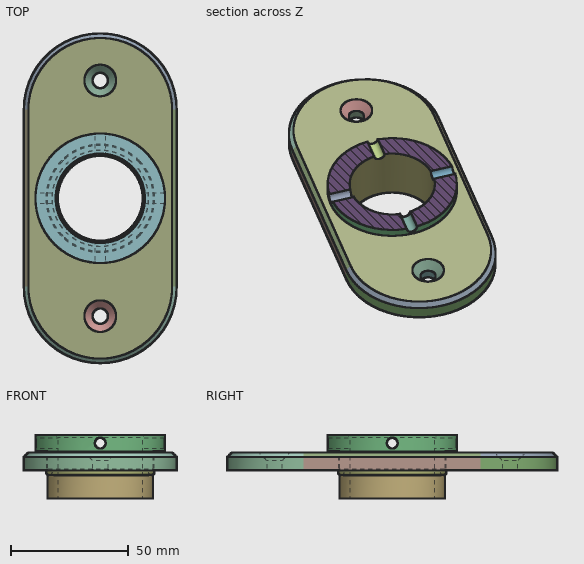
import cadquery as cq
PLATE_LENGTH = 140.0
PLATE_WIDTH = 65.0
PLATE_THICKNESS = 7.5
PLATE_CHAMFER = 2.0
PLATE_BORE_DIAMETER = 45.5
SCREW_SPACING = 100.0
SCREW_HOLE_DIAMETER = 6.5
COUNTERSINK_DIAMETER = 13.5
COUNTERSINK_ANGLE = 90.0

COLLAR_DIAMETER = 55.0
TOTAL_HEIGHT = 27.0
TUBE_DIAMETER = 45.0
TUBE_PROTRUSION = 12.0
COLLAR_CLEARANCE = 0.4
BORE_DIAMETER = 36.0
BORE_CHAMFER = 1.0
CROSS_HOLE_DIAMETER = 4.5
CROSS_HOLE_DEPTH = 3.5

RING_OUTER_DIAMETER = 46.0
WIRE_DIAMETER = 2.5
GROOVE_WIDTH = 2.8
RING_DROP = 0.8

COLLAR_TOP = TOTAL_HEIGHT - TUBE_PROTRUSION
COLLAR_BOTTOM = PLATE_THICKNESS + COLLAR_CLEARANCE
COLLAR_HEIGHT = COLLAR_TOP - COLLAR_BOTTOM
RING_CENTER_RADIUS = (RING_OUTER_DIAMETER - WIRE_DIAMETER) / 2


def torus_around_tube(section_diameter):
    """Torus about the Z axis through the middle of the retaining ring's wire."""
    torus = cq.Solid.makeTorus(RING_CENTER_RADIUS, section_diameter / 2)
    return cq.Workplane(torus.translate(cq.Vector(0, 0, -RING_DROP)))


def make_plate():
    plate = (
        cq.Workplane("XY")
        .slot2D(PLATE_LENGTH, PLATE_WIDTH, 90)
        .extrude(PLATE_THICKNESS)
        .faces(">Z")
        .chamfer(PLATE_CHAMFER)
    )
    plate = plate.faces(">Z").workplane(origin=(0, 0, 0)).hole(PLATE_BORE_DIAMETER)
    screw_places = [(0, -SCREW_SPACING / 2), (0, SCREW_SPACING / 2)]
    return (
        plate.faces(">Z")
        .workplane(origin=(0, 0, 0))
        .pushPoints(screw_places)
        .cskHole(SCREW_HOLE_DIAMETER, COUNTERSINK_DIAMETER, COUNTERSINK_ANGLE)
    )


def make_bush():
    tube = cq.Workplane("XY", origin=(0, 0, -TUBE_PROTRUSION)).circle(TUBE_DIAMETER / 2).extrude(TOTAL_HEIGHT)
    collar = cq.Workplane("XY", origin=(0, 0, COLLAR_BOTTOM)).circle(COLLAR_DIAMETER / 2).extrude(COLLAR_HEIGHT)
    bush = tube.union(collar).faces(">Z").workplane().hole(BORE_DIAMETER)
    bush = bush.faces(">Z").edges(cq.selectors.RadiusNthSelector(0)).chamfer(BORE_CHAMFER)
    for plane in ("XZ", "YZ"):
        cross_hole = (
            cq.Workplane(plane, origin=(0, 0, COLLAR_TOP - CROSS_HOLE_DEPTH))
            .circle(CROSS_HOLE_DIAMETER / 2)
            .extrude(COLLAR_DIAMETER, both=True)
        )
        bush = bush.cut(cross_hole)
    return bush.cut(torus_around_tube(GROOVE_WIDTH))


plate = make_plate()
bush = make_bush()
retaining_ring = torus_around_tube(WIRE_DIAMETER)

result = cq.Compound.makeCompound([plate.val(), bush.val(), retaining_ring.val()])